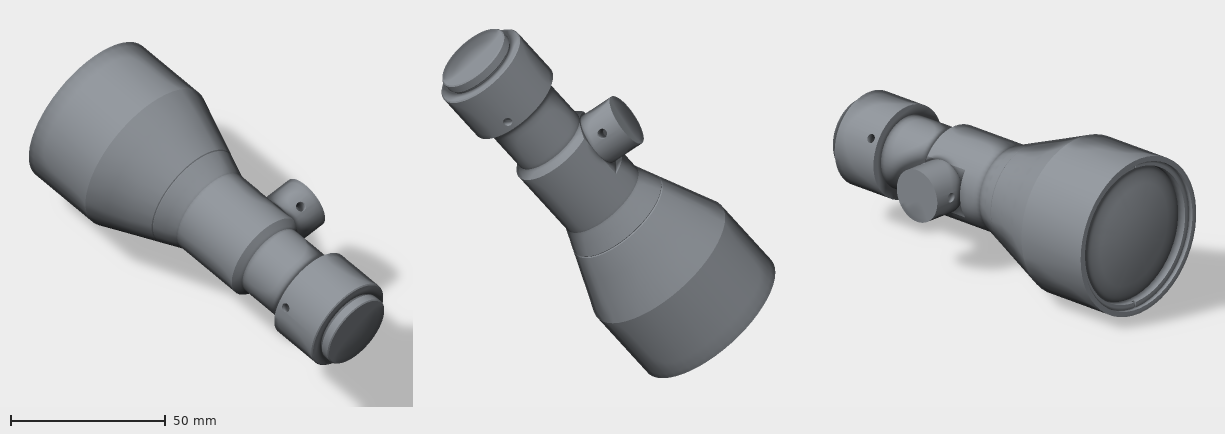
import cadquery as cq
import math

total_length = 124.5

barrel_radius = 27.0
cone_start_x = 26.4
joint_x = 48.4
joint_chamfer = 0.2

cone_end_x = 56.6
sleeve_radius = 15.0
flat_start_x = 65.2
sleeve_end_x = 82.0
shoulder_end_x = 84.4
tube_radius = 12.6

seat_radius = 25.3
ring_face_x = 1.5
ring_thickness = 2.9
ring_front_radius = 23.4
ring_back_radius = 23.2
ring_slot_width = 1.0
ring_slot_depth = 1.2
lens_bulge = 3.7
lens_rim_thickness = 5.0
ring_back_x = ring_face_x + ring_thickness
seat_x = ring_back_x + lens_rim_thickness

port_x = 75.2
port_diameter = 18.0
port_radius = port_diameter / 2
port_top_y = 24.6
port_chamfer = 0.2
port_hole_y = 18.2
port_hole_depth = 5.6
port_countersink_diameter = 3.4
port_countersink_depth = 0.4

mount_start_x = 102.8
mount_end_x = 120.5
mount_radius = 16.0
mount_floor_thickness = 1.2
mount_floor_x = mount_end_x - mount_floor_thickness
mount_hole_x = 105.9
neck_radius = 12.2
thread_start_x = 121.1
thread_radius = 12.7
mount_chamfer = 0.4

screw_hole_diameter = 3.0
screw_hole_count = 3
port_first_angle = 60.0
mount_first_angle = 30.0


def cone_radius(x):
    """Radius at x of the straight cone from the barrel to the sleeve."""
    share = (x - cone_start_x) / (cone_end_x - cone_start_x)
    return barrel_radius + share * (sleeve_radius - barrel_radius)


def turned(points):
    """Solid of revolution about the X axis from (x, radius) points."""
    return cq.Workplane("XY").polyline(points).close().revolve(360, (0, 0, 0), (1, 0, 0))


def screw_directions(plane, first_angle):
    """Outward unit vectors in the plane, equally spaced around its normal."""
    angles = [math.radians(first_angle + i * 360 / screw_hole_count) for i in range(screw_hole_count)]
    return [plane.xDir * math.cos(angle) + plane.yDir * math.sin(angle) for angle in angles]


def screw_hole(mouth, outward, depth):
    """Cylinder of the screw hole diameter going inward from its mouth."""
    return cq.Workplane(cq.Solid.makeCylinder(screw_hole_diameter / 2, depth, mouth, outward * -1))


def port_countersink(mouth, outward):
    """Cone that widens the mouth of a port screw hole."""
    return cq.Workplane(cq.Solid.makeCone(
        port_countersink_diameter / 2, screw_hole_diameter / 2, port_countersink_depth, mouth, outward * -1
    ))


def make_front_barrel():
    chamfer_x = joint_x - joint_chamfer
    return turned([
        (seat_x, 0),
        (seat_x, seat_radius),
        (0, seat_radius),
        (0, barrel_radius),
        (cone_start_x, barrel_radius),
        (chamfer_x, cone_radius(chamfer_x)),
        (joint_x, cone_radius(joint_x) - joint_chamfer),
        (joint_x, 0),
    ])


def make_retaining_ring():
    ring = turned([
        (ring_face_x, ring_front_radius),
        (ring_face_x, seat_radius),
        (ring_back_x, seat_radius),
        (ring_back_x, ring_back_radius),
    ])
    spanner_bar = cq.Workplane("XY", origin=(ring_face_x, 0, 0)).box(
        ring_slot_depth, ring_slot_width, 2 * barrel_radius, centered=(False, True, True)
    )
    return ring.cut(spanner_bar)


def make_lens():
    apex_x = ring_back_x - lens_bulge
    dome_radius = (ring_back_radius**2 + lens_bulge**2) / (2 * lens_bulge)
    half_angle = math.asin(ring_back_radius / dome_radius) / 2
    dome_mid_point = (
        apex_x + dome_radius * (1 - math.cos(half_angle)),
        dome_radius * math.sin(half_angle),
    )
    return (
        cq.Workplane("XY")
        .moveTo(seat_x, 0)
        .lineTo(seat_x, seat_radius)
        .lineTo(ring_back_x, seat_radius)
        .lineTo(ring_back_x, ring_back_radius)
        .threePointArc(dome_mid_point, (apex_x, 0))
        .close()
        .revolve(360, (0, 0, 0), (1, 0, 0))
    )


def make_main_tube():
    chamfer_x = joint_x + joint_chamfer
    tube = turned([
        (joint_x, 0),
        (joint_x, cone_radius(joint_x) - joint_chamfer),
        (chamfer_x, cone_radius(chamfer_x)),
        (cone_end_x, sleeve_radius),
        (sleeve_end_x, sleeve_radius),
        (shoulder_end_x, tube_radius),
        (mount_floor_x, tube_radius),
        (mount_floor_x, 0),
    ])
    above_flat = cq.Workplane("XY", origin=(flat_start_x, tube_radius, 0)).box(
        shoulder_end_x - flat_start_x, sleeve_radius, 2 * sleeve_radius, centered=(False, False, True)
    )
    return tube.cut(above_flat)


def make_side_port():
    port = (
        cq.Workplane("XZ", origin=(port_x, tube_radius, 0))
        .circle(port_radius)
        .extrude(tube_radius - port_top_y)
        .faces("<Y")
        .chamfer(port_chamfer)
    )
    hole_plane = cq.Plane(origin=(port_x, port_hole_y, 0), xDir=(1, 0, 0), normal=(0, -1, 0))
    for outward in screw_directions(hole_plane, port_first_angle):
        mouth = hole_plane.origin + outward * port_radius
        port = port.cut(screw_hole(mouth, outward, port_hole_depth))
        port = port.cut(port_countersink(mouth, outward))
    return port


def make_camera_mount():
    mount = turned([
        (mount_floor_x, 0),
        (mount_floor_x, tube_radius),
        (mount_start_x, tube_radius),
        (mount_start_x, mount_radius),
        (mount_end_x - mount_chamfer, mount_radius),
        (mount_end_x, mount_radius - mount_chamfer),
        (mount_end_x, neck_radius),
        (thread_start_x, neck_radius),
        (thread_start_x + mount_chamfer, thread_radius),
        (total_length - mount_chamfer, thread_radius),
        (total_length, thread_radius - mount_chamfer),
        (total_length, 0),
    ])
    hole_plane = cq.Plane(origin=(mount_hole_x, 0, 0), xDir=(0, 1, 0), normal=(1, 0, 0))
    hole_depth = mount_radius - tube_radius + screw_hole_diameter / 2
    for outward in screw_directions(hole_plane, mount_first_angle):
        mouth = hole_plane.origin + outward * mount_radius
        mount = mount.cut(screw_hole(mouth, outward, hole_depth))
    return mount


front_barrel = make_front_barrel()
retaining_ring = make_retaining_ring()
lens = make_lens()
main_tube = make_main_tube()
side_port = make_side_port()
camera_mount = make_camera_mount()

result = cq.Compound.makeCompound([
    front_barrel.val(),
    retaining_ring.val(),
    lens.val(),
    main_tube.val(),
    side_port.val(),
    camera_mount.val(),
])